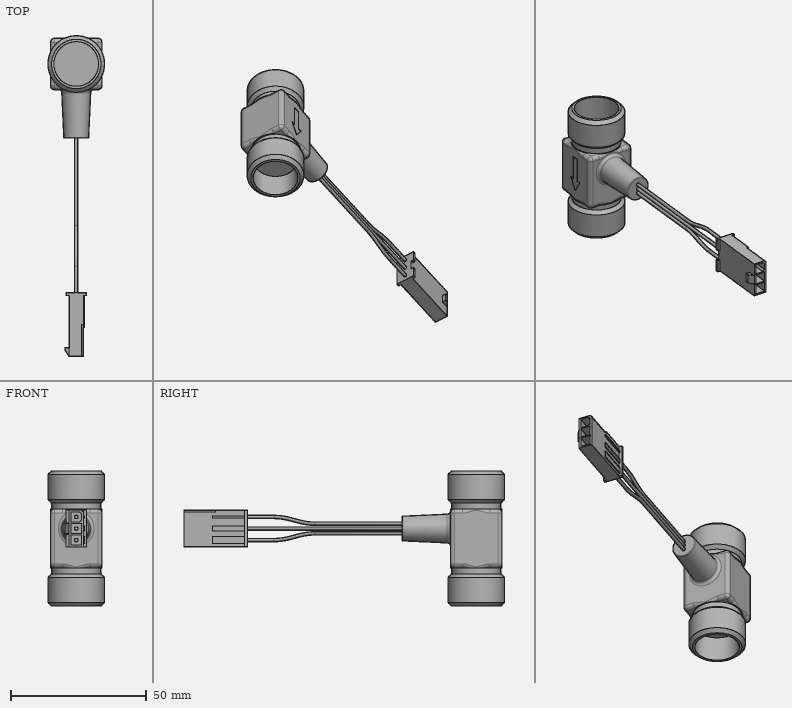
import cadquery as cq


overall_length = 118.4

pipe_length = 50.0
pipe_r = 21.0 / 2
neck_r = 18.2 / 2
bore_r = 16.5 / 2
bore_depth = 10.2
end_bevel = pipe_r - neck_r
collar_length = 12.0

block_w = 19.1
block_h = 21.8
block_round = 1.5
core_r = 19.0 / 2
tolerance = 0.01

arrow_depth = 0.1
arrow_shaft_w = 2.6
arrow_head_w = 5.8
arrow_top = 6.9
arrow_neck = -2.4
arrow_tip = -7.0

cable_z = 3.7
sleeve_base_r = 10.8 / 2
sleeve_tip_r = 9.2 / 2
sleeve_base_round = 1.2
sleeve_tip_round = 0.2
sleeve_base_y = -block_w / 2
sleeve_tip_y = -27.4

plug_back_y = -84.4
plug_front_y = pipe_r - overall_length
plug_w = 5.3
plug_h = 13.5
flange_w = 7.5
flange_t = 1.1
flange_gap = 4.3
cell_pitch = 4.3
cell_size = 3.8
cell_depth = 11.8
cell_bevel = 0.7
bevel_length = 11.7
rib_length = 12.9
rib_depth = 0.4
rib_widths = [2.5, 1.8, 0.7]
latch_reach = 1.4
latch_w = 3.5
latch_back = 3.2
latch_land = 1.1

lead_r = 1.3 / 2
lead_pitch = 1.8
lead_embed = 4.7
fan_start_y = -59.6
fan_end_y = -74.6
cell_floor_y = plug_front_y + cell_depth
lanes = [-1, 0, 1]


def make_pipe():
    """Necked pipe with bevelled thick ends and a blind bore in each end."""
    top = pipe_length / 2
    collar_bottom = top - collar_length
    half_profile = [
        (neck_r, top),
        (pipe_r, top - end_bevel),
        (pipe_r, collar_bottom + end_bevel),
        (neck_r, collar_bottom),
    ]
    mirrored = [(r, -z) for r, z in reversed(half_profile)]
    outline = [(0, top)] + half_profile + mirrored + [(0, -top)]
    pipe = cq.Workplane("XZ").polyline(outline).close().revolve(360, (0, 0), (0, 1))
    bore = cq.Workplane("XY").workplane(offset=top - bore_depth).circle(bore_r).extrude(bore_depth)
    return pipe.cut(bore).cut(bore.mirror("XY"))


def is_block_rim(edge):
    """True for the straight sides and corner arcs of the block's end outlines, not the core's circle."""
    at_end = abs(abs(edge.Center().z) - block_h / 2) < tolerance
    return at_end and (edge.geomType() == "LINE" or edge.radius() < core_r - tolerance)


def make_block():
    """Square block whose rounded end edges fade out where the round core comes close to the faces."""
    block = cq.Workplane("XY").box(block_w, block_w, block_h)
    block = block.edges("|Z").fillet(block_round)
    core = cq.Workplane("XY").circle(core_r).extrude(block_h, both=True)
    body = block.union(core)
    rim = [edge for edge in body.edges().vals() if is_block_rim(edge)]
    body = cq.Workplane(body.val().fillet(block_round, rim))
    return body.intersect(cq.Workplane("XY").box(block_w, block_w, block_h))


def make_arrow():
    """Cutter for the shallow flow arrow."""
    shaft = arrow_shaft_w / 2
    head = arrow_head_w / 2
    outline = [
        (-shaft, arrow_top),
        (shaft, arrow_top),
        (shaft, arrow_neck),
        (head, arrow_neck),
        (0, arrow_tip),
        (-head, arrow_neck),
        (-shaft, arrow_neck),
    ]
    face = cq.Workplane("YZ").workplane(offset=-block_w / 2)
    return face.polyline(outline).close().extrude(arrow_depth)


def make_sleeve():
    """Tapered sleeve with a flared root and a slightly rounded tip, turned about the cable axis."""
    root_r = sleeve_base_r + sleeve_base_round
    flare_y = sleeve_base_y - sleeve_base_round
    flare_mid = sleeve_base_round * (1 - 0.5 ** 0.5)
    inner_y = sleeve_base_y + block_round
    profile = (
        cq.Workplane("XY")
        .moveTo(0, inner_y)
        .lineTo(sleeve_base_r, inner_y)
        .lineTo(sleeve_base_r, sleeve_base_y)
        .lineTo(root_r, sleeve_base_y)
        .threePointArc((sleeve_base_r + flare_mid, sleeve_base_y - flare_mid), (sleeve_base_r, flare_y))
        .lineTo(sleeve_tip_r, sleeve_tip_y)
        .lineTo(0, sleeve_tip_y)
        .close()
    )
    sleeve = profile.revolve(360, (0, 0), (0, 1)).faces("<Y").edges().fillet(sleeve_tip_round)
    return sleeve.translate((0, 0, cable_z))


def make_lead(lane):
    """One lead: straight out of the sleeve, an S-bend to its cell, straight to the cell floor."""
    sleeve_z = cable_z + lane * lead_pitch
    cell_z = cable_z + lane * cell_pitch
    start_y = sleeve_tip_y + lead_embed
    section = cq.Workplane("XZ", origin=(0, start_y, sleeve_z)).circle(lead_r)
    if lane == 0:
        return section.extrude(start_y - cell_floor_y)
    path = (
        cq.Workplane("YZ")
        .moveTo(start_y, sleeve_z)
        .lineTo(fan_start_y, sleeve_z)
        .spline([(fan_end_y, cell_z)], tangents=[(-1, 0), (-1, 0)], includeCurrent=True)
        .lineTo(cell_floor_y, cell_z)
    )
    return section.sweep(path)


def make_sensor():
    sensor = make_block().cut(make_arrow())
    sensor = sensor.union(make_pipe()).union(make_sleeve())
    for lane in lanes:
        sensor = sensor.union(make_lead(lane))
    return sensor


def plug_box(x0, x1, y0, y1, height, z):
    """Box between two X and two Y limits, centred on height z."""
    return cq.Workplane("XY").box(x1 - x0, y1 - y0, height).translate(((x0 + x1) / 2, (y0 + y1) / 2, z))


def make_cell(lane):
    """Cutter for one contact cell and the hole for its lead; the top cell has two bevelled corners."""
    z = cable_z + lane * cell_pitch
    half = cell_size / 2
    cell = plug_box(-half, half, plug_front_y, cell_floor_y, cell_size, z)
    if lane == lanes[-1]:
        cell = cell.edges("|Y and >X").chamfer(cell_bevel)
    lead_hole = cq.Workplane("XZ", origin=(0, plug_back_y, z)).circle(lead_r)
    return cell.union(lead_hole.extrude(plug_back_y - cell_floor_y))


def make_latch():
    """Wedge on the -X side that tapers towards the plug's front face."""
    side = -plug_w / 2
    back = plug_front_y + latch_back
    outline = [
        (side, back),
        (side - latch_reach, back),
        (side - latch_reach, back - latch_land),
        (side, plug_front_y),
    ]
    base = cq.Workplane("XY").workplane(offset=cable_z - latch_w / 2)
    return base.polyline(outline).close().extrude(latch_w)


def make_plug():
    side = plug_w / 2
    plug = plug_box(-side, side, plug_front_y, plug_back_y, plug_h, cable_z)

    top_z = cable_z + plug_h / 2
    bevel = (
        cq.Workplane("XZ", origin=(0, plug_front_y + bevel_length, 0))
        .polyline([(side, top_z), (side - cell_bevel, top_z), (side, top_z - cell_bevel)])
        .close()
        .extrude(bevel_length)
    )
    plug = plug.cut(bevel)

    flange_front_y = plug_back_y - flange_t
    flange = plug_box(-flange_w / 2, flange_w / 2, flange_front_y, plug_back_y, plug_h, cable_z)
    gap = plug_box(-flange_w / 2, -side, flange_front_y, plug_back_y, flange_gap, cable_z)
    plug = plug.union(flange.cut(gap)).union(make_latch())

    for lane, rib_w in zip(lanes, rib_widths):
        z = cable_z + lane * cell_pitch
        rib = plug_box(side, side + rib_depth, plug_back_y - rib_length, plug_back_y, rib_w, z)
        plug = plug.union(rib)
    for lane in lanes:
        plug = plug.cut(make_cell(lane))
    return plug


sensor = make_sensor()
plug = make_plug()
result = cq.Compound.makeCompound([sensor.solids().val(), plug.solids().val()])